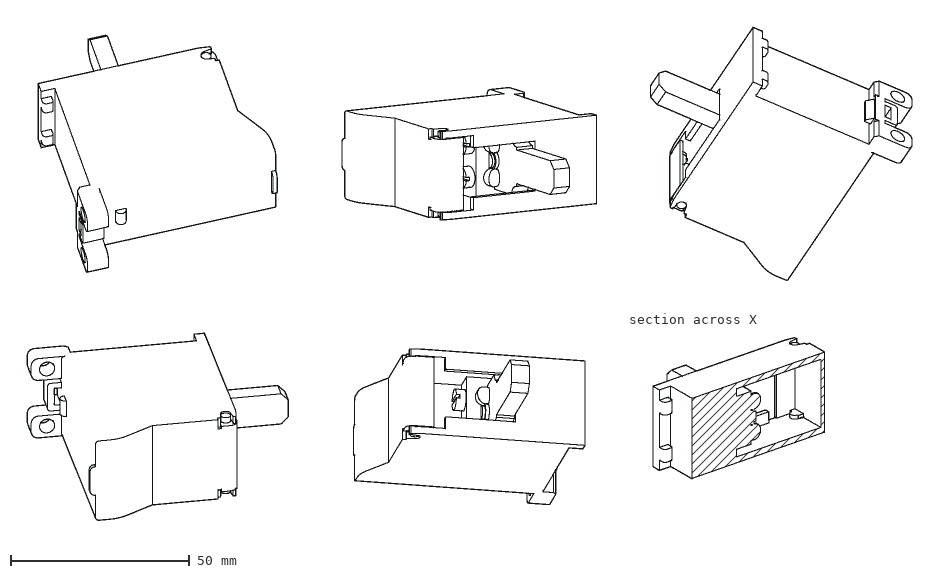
import cadquery as cq
import math

width = 25.2
half_width = width / 2
height = 57.2
body_bottom = 4.0
body_depth = 41.95
low_top = 51.1
ramp_angle = math.radians(30)
crest_start_x = 38.0
crest_radius = 10.45
front_corner_radius = 2.3
back_edge_radius = 1.05

panel_thickness = 1.5
cavity_half_width = 10.6
cavity_bottom = 19.9
cavity_top = 49.7
cavity_back = 20.9
window_half_width = 7.1
window_step_y = 39.95

cover_thickness = 0.9
cover_bottom = 43.2
cover_half_width = 10.4
hinge_x = 3.1
hinge_y = 47.95
hinge_radius = 1.4
hinge_shelf_y = 50.05
cheek_start_y = 46.0
cheek_bend_x = 0.15
cheek_bend_y = 47.75
cheek_bend_radius = 11.15
cheek_top_x = 0.4
cheek_top_y = 49.8
cheek_peak_start = 0.7
cheek_peak_end = 1.3
hinge_gap_start = 4.9
hinge_gap_end = 5.8
hinge_gap_extra_depth = 0.7
hinge_arm_thickness = 1.0
pin_recess = 0.55
slit_top = 48.5

blade_tip_x = -19.2
blade_thickness = 5.1
blade_top = cavity_bottom + blade_thickness
blade_half_width = 4.8
blade_tip_bevel_x = 2.1
blade_tip_bevel_z = 2.15
blade_root_half_width = 5.6
flare_radius = 2.8

terminal_front = 13.95
terminal_top = 31.0
terminal_screw_z = 4.8
terminal_screw_x = 17.4
screw_head_radius = 3.0
screw_head_height = 2.8
screw_slot_depth = 1.05
screw_slot_width = 1.0
pad_radius = 2.5
pad_center_y = 26.0
bolt_head_radius = 2.65
bolt_head_height = 1.05
bolt_end_radius = 2.1
bolt_end_height = 1.8

leg_depth = 3.0
hook_reach = 2.2
hook_top = 3.0
hook_width = 4.05
hook_center_z = 7.4
hook_bottom_radius = 1.1
hook_top_radius = 0.7

foot_front = 38.95
foot_height = 6.1
foot_end = 50.5
foot_corner_radius = 2.1
foot_bevel_x = 1.1
foot_bevel_y = 1.0
prong_inner_z = 5.65
mount_hole_radius = 2.15
mount_hole_x = 46.0
mount_hole_z = 9.05
tab_half_width = 4.4
tab_end = 45.85
tab_corner_radius = 0.85
tab_slot_end = 43.9
tab_slot_half_width = 2.65
latch_tip_x = 37.1
latch_top = 3.0
latch_tip_y = 2.4
latch_root_y = 0.6

lip_reach = 1.5
lip_thickness = 1.25
lip_half_width = 4.5
lip_corner_radius = 1.4
bump_center_y = 12.1
bump_radius = 1.5
bump_half_width = 2.45


def block(x0, x1, y0, y1, z0, z1):
    """Box given by its limits along each axis."""
    return cq.Workplane("XY").box(x1 - x0, y1 - y0, z1 - z0, centered=False).translate((x0, y0, z0))


def across(profile, half):
    """Extrude an XY profile symmetrically about Z = 0."""
    return profile.extrude(half, both=True)


def cylinder_y(x, y, z, radius, length):
    """Cylinder rising along +Y from the point (x, y, z)."""
    return cq.Workplane(cq.Solid.makeCylinder(radius, length, cq.Vector(x, y, z), cq.Vector(0, 1, 0)))


def both_sides(shape):
    """The shape together with its mirror image about Z = 0."""
    return shape.union(shape.mirror("XY"))


def housing_body():
    """Side outline: flat low top, 30 degree ramp and rounded crest at the back."""
    tangent_x = crest_start_x - crest_radius * math.sin(ramp_angle)
    tangent_y = height - crest_radius * (1 - math.cos(ramp_angle))
    ramp_foot_x = tangent_x - (tangent_y - low_top) / math.tan(ramp_angle)
    arc_mid = (
        crest_start_x - crest_radius * math.sin(ramp_angle / 2),
        height - crest_radius * (1 - math.cos(ramp_angle / 2)),
    )
    outline = (
        cq.Workplane("XY")
        .moveTo(0, 0)
        .lineTo(leg_depth, 0)
        .lineTo(leg_depth, body_bottom)
        .lineTo(body_depth, body_bottom)
        .lineTo(body_depth, height)
        .lineTo(crest_start_x, height)
        .threePointArc(arc_mid, (tangent_x, tangent_y))
        .lineTo(ramp_foot_x, low_top)
        .lineTo(front_corner_radius, low_top)
        .radiusArc((0, low_top - front_corner_radius), -front_corner_radius)
        .close()
    )
    body = across(outline, half_width)
    return body.edges("|Y and >X").fillet(back_edge_radius)


def cavity():
    """Inner space with the stepped window through the front panel."""
    inside = block(panel_thickness, cavity_back, cavity_bottom, cavity_top,
                   -cavity_half_width, cavity_half_width)
    window = block(0, panel_thickness, cavity_bottom, window_step_y, -window_half_width, window_half_width)
    entry = block(0, panel_thickness, window_step_y, cover_bottom, -cavity_half_width, cavity_half_width)
    behind_cover = block(cover_thickness, panel_thickness, cover_bottom, cavity_top,
                         -cavity_half_width, cavity_half_width)
    slit = block(0, panel_thickness, cover_bottom, slit_top, cover_half_width, cavity_half_width)
    return inside.union(window).union(entry).union(behind_cover).union(both_sides(slit))


def hinge_recess():
    """Side recess in the top front corner that exposes the cover arm, with a hole for its pin."""
    depth = half_width - cover_half_width
    side = cq.Workplane("XY").workplane(offset=cover_half_width)
    arm = (
        side.moveTo(0, cheek_start_y)
        .radiusArc((cheek_bend_x, cheek_bend_y), cheek_bend_radius)
        .lineTo(cheek_top_x, cheek_top_y)
        .lineTo(cheek_peak_start, hinge_shelf_y)
        .lineTo(cheek_peak_end, hinge_shelf_y)
        .lineTo(hinge_x - hinge_radius, hinge_y)
        .lineTo(hinge_x + hinge_radius, hinge_y)
        .lineTo(hinge_gap_start, hinge_shelf_y)
        .lineTo(hinge_gap_end, hinge_shelf_y)
        .lineTo(hinge_gap_end, low_top)
        .lineTo(0, low_top)
        .close()
        .extrude(depth)
    )
    pin = side.center(hinge_x, hinge_y).circle(hinge_radius).extrude(depth)
    gap = block(hinge_gap_start, hinge_gap_end, hinge_shelf_y, low_top,
                cover_half_width - hinge_gap_extra_depth, half_width)
    return both_sides(arm.union(pin).union(gap))


def hinge_arms():
    """Arms inside the side walls, with pins that fill the wall holes and stop just below the outside."""
    arm_bottom = cover_half_width - hinge_arm_thickness
    arm = block(cover_thickness, hinge_gap_start, hinge_y, cavity_top, arm_bottom, cover_half_width)
    pin = (
        cq.Workplane("XY", origin=(hinge_x, hinge_y, arm_bottom))
        .circle(hinge_radius)
        .extrude(half_width - pin_recess - arm_bottom)
    )
    return both_sides(arm.union(pin))


def blade():
    """Flat contact with a bevelled tip and a root that flares out inside the cavity."""
    shoulder = blade_root_half_width + flare_radius
    flare_end = panel_thickness + flare_radius
    half_outline = (
        cq.Workplane("XZ", origin=(0, cavity_bottom, 0))
        .moveTo(blade_tip_x, 0)
        .lineTo(blade_tip_x, blade_half_width - blade_tip_bevel_z)
        .lineTo(blade_tip_x + blade_tip_bevel_x, blade_half_width)
        .lineTo(panel_thickness, blade_half_width)
        .lineTo(panel_thickness, blade_root_half_width)
        .radiusArc((flare_end, shoulder), -flare_radius)
        .lineTo(cavity_back, shoulder)
        .lineTo(cavity_back, 0)
        .close()
        .extrude(-blade_thickness)
    )
    return both_sides(half_outline)


def terminal():
    """Clamp block with two slotted screws, two round-topped pads and a bolt head between them."""
    clamp = block(terminal_front, cavity_back, cavity_bottom, terminal_top,
                  -cavity_half_width, cavity_half_width)
    head = cylinder_y(terminal_screw_x, terminal_top, terminal_screw_z, screw_head_radius, screw_head_height)
    head_top = terminal_top + screw_head_height
    slot = block(
        terminal_screw_x - screw_head_radius,
        terminal_screw_x + screw_head_radius,
        head_top - screw_slot_depth,
        head_top,
        terminal_screw_z - screw_slot_width / 2,
        terminal_screw_z + screw_slot_width / 2,
    )
    pad_arch = (
        cq.Workplane("YZ", origin=(terminal_front - screw_head_radius, 0, 0))
        .center(pad_center_y, terminal_screw_z)
        .circle(pad_radius)
        .extrude(screw_head_radius)
    )
    pad_post = cylinder_y(terminal_front, blade_top, terminal_screw_z, screw_head_radius,
                          terminal_top - blade_top)
    pads_and_screws = both_sides(head.cut(slot).union(pad_arch.intersect(pad_post)))
    bolt_head = cylinder_y(terminal_front, blade_top, 0, bolt_head_radius, bolt_head_height)
    bolt_end = cylinder_y(terminal_front, blade_top, 0, bolt_end_radius, bolt_end_height)
    return clamp.union(pads_and_screws).union(bolt_head).union(bolt_end)


def rail_hooks():
    """Rounded hooks behind the front leg."""
    hook = block(leg_depth, leg_depth + hook_reach, 0, hook_top,
                 hook_center_z - hook_width / 2, hook_center_z + hook_width / 2)
    hook = hook.edges(">X and <Y").fillet(hook_bottom_radius)
    hook = hook.edges(">X and >Y").fillet(hook_top_radius)
    return both_sides(hook)


def foot():
    """Rear foot: two drilled prongs, a slotted middle tab and the rail latch."""
    base = block(foot_front, body_depth, 0, foot_height, -half_width, half_width)
    prong = block(foot_front, foot_end, 0, foot_height, prong_inner_z, half_width)
    prong = prong.edges("|Y and >X").fillet(foot_corner_radius)
    hole = cylinder_y(mount_hole_x, 0, mount_hole_z, mount_hole_radius, foot_height)
    bevel = (
        cq.Workplane("XY", origin=(0, 0, prong_inner_z))
        .moveTo(foot_front, 0)
        .lineTo(foot_front + foot_bevel_x, 0)
        .lineTo(foot_front, foot_bevel_y)
        .close()
        .extrude(half_width - prong_inner_z)
    )
    tab = block(foot_front, tab_end, 0, foot_height, -tab_half_width, tab_half_width)
    tab = tab.edges("|Y and >X").fillet(tab_corner_radius)
    slot = block(body_depth, tab_slot_end, 0, foot_height, -tab_slot_half_width, tab_slot_half_width)
    latch = across(
        cq.Workplane("XY").polyline([
            (foot_front, latch_top),
            (latch_tip_x, latch_top),
            (latch_tip_x, latch_tip_y),
            (foot_front, latch_root_y),
        ]).close(),
        tab_half_width,
    )
    solid = base.union(both_sides(prong)).union(tab).union(latch)
    return solid.cut(both_sides(hole.union(bevel))).cut(slot)


def back_details():
    """Lip along the top edge and a half-round bump above the foot."""
    lip = block(crest_start_x, body_depth + lip_reach, height - lip_thickness, height,
                -lip_half_width, lip_half_width)
    lip = lip.edges("|Y and >X").fillet(lip_corner_radius)
    bump = across(cq.Workplane("XY").center(body_depth, bump_center_y).circle(bump_radius), bump_half_width)
    return lip.union(bump)


housing = housing_body().cut(cavity()).cut(hinge_recess())
housing = housing.union(hinge_arms()).union(back_details())
result = housing.union(blade()).union(terminal()).union(rail_hooks()).union(foot())